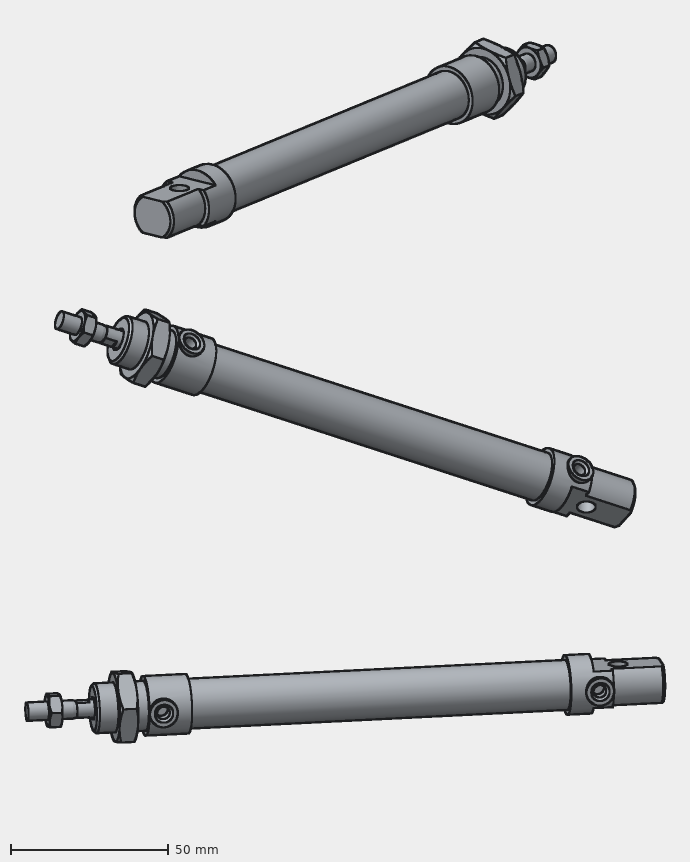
import cadquery as cq
import math

TOTAL_LENGTH = 205.0

ROD_DIAMETER = 6.0
THREAD_END_DIAMETER = 5.5
THREAD_LENGTH = 15.8
THREAD_RELIEF_LENGTH = 1.2
ROD_FLATS_WIDTH = 5.0
ROD_FLATS_END = 19.9
ROD_INSERTION = 16.5

ROD_NUT_START = 6.5
ROD_NUT_THICKNESS = 4.0
ROD_NUT_ACROSS_FLATS = 10.0
ROD_NUT_ANGLE = -7.0
ROD_NUT_CHAMFER = 0.5

MOUNTING_NUT_START = 28.0
MOUNTING_NUT_THICKNESS = 6.0
MOUNTING_NUT_ACROSS_FLATS = 22.0
MOUNTING_NUT_ANGLE = -12.3
MOUNTING_NUT_CHAMFER = 0.8

BARREL_DIAMETER = 16.0
NOSE_START = 21.3
END_CHAMFER = 0.8
ROD_MOUTH_DIAMETER = 7.2
COLLAR_DIAMETER = 19.0
COLLAR_LENGTH = 13.7
FRONT_COLLAR_START = 38.0
REAR_COLLAR_START = 174.2
REAR_COLLAR_END = REAR_COLLAR_START + COLLAR_LENGTH

PORT_BOSS_DIAMETER = 9.0
PORT_FACE_X = -10.2
PORT_MOUTH_DIAMETER = 6.0
PORT_HOLE_DIAMETER = 4.0
PORT_DEPTH = 5.0
PORT_MOUTH_DEPTH = (PORT_MOUTH_DIAMETER - PORT_HOLE_DIAMETER) / 2
PORT_EDGE_DISTANCE = PORT_BOSS_DIAMETER / 2
PORT_STATIONS = (FRONT_COLLAR_START + PORT_EDGE_DISTANCE, REAR_COLLAR_END - PORT_EDGE_DISTANCE)

TANG_THICKNESS = 12.0
TANG_FLATS_START = 181.8
TANG_HOLE_STATION = 191.0
TANG_HOLE_DIAMETER = 6.0


def revolve_profile(points):
    """Turn (radius, station) points about the cylinder axis."""
    outline = [(radius, -station) for radius, station in points]
    return cq.Workplane("XY").polyline(outline).close().revolve(360, (0, 0), (0, 1))


def cylinder(diameter, start, end):
    """Round bar on the cylinder axis between two stations."""
    return cq.Workplane("XZ", origin=(0, -start, 0)).circle(diameter / 2).extrude(end - start)


def flats_cutter(thickness, start, end):
    """Two blocks, above and below the axis, that leave the given thickness."""
    block_size = 2 * COLLAR_DIAMETER
    cutter = cq.Workplane("XY")
    for side in (-1, 1):
        center = (0, -(start + end) / 2, side * (thickness + block_size) / 2)
        cutter = cutter.add(cq.Workplane("XY").box(block_size, end - start, block_size).translate(center))
    return cutter.combine()


def port_cylinder(diameter, station, start_x, length):
    """Round bar along +X, at a port."""
    return cq.Workplane("YZ", origin=(start_x, -station, 0)).circle(diameter / 2).extrude(length)


def port_bore(station):
    """Blind hole with a countersunk mouth."""
    bore = port_cylinder(PORT_HOLE_DIAMETER, station, PORT_FACE_X, PORT_DEPTH)
    mouth = (
        cq.Workplane("YZ", origin=(PORT_FACE_X, -station, 0))
        .circle(PORT_MOUTH_DIAMETER / 2)
        .workplane(offset=PORT_MOUTH_DEPTH)
        .circle(PORT_HOLE_DIAMETER / 2)
        .loft()
    )
    return bore.union(mouth)


def make_housing():
    """Barrel with nose, two collars, ports and flattened rear tang."""
    radius = BARREL_DIAMETER / 2
    end_radius = radius - END_CHAMFER
    housing = revolve_profile([
        (0, NOSE_START),
        (end_radius, NOSE_START),
        (radius, NOSE_START + END_CHAMFER),
        (radius, TOTAL_LENGTH - END_CHAMFER),
        (end_radius, TOTAL_LENGTH),
        (0, TOTAL_LENGTH),
    ])
    for start in (FRONT_COLLAR_START, REAR_COLLAR_START):
        housing = housing.union(cylinder(COLLAR_DIAMETER, start, start + COLLAR_LENGTH))
    housing = housing.cut(flats_cutter(TANG_THICKNESS, TANG_FLATS_START, TOTAL_LENGTH))
    for station in PORT_STATIONS:
        housing = housing.union(port_cylinder(PORT_BOSS_DIAMETER, station, PORT_FACE_X, -PORT_FACE_X))
        housing = housing.cut(port_bore(station))

    tang_hole = (
        cq.Workplane("XY", origin=(0, -TANG_HOLE_STATION, 0))
        .circle(TANG_HOLE_DIAMETER / 2)
        .extrude(TANG_THICKNESS, both=True)
    )
    mouth_radius = ROD_MOUTH_DIAMETER / 2
    rod_radius = ROD_DIAMETER / 2
    rod_seat = revolve_profile([
        (0, NOSE_START),
        (mouth_radius, NOSE_START),
        (rod_radius, NOSE_START + mouth_radius - rod_radius),
        (rod_radius, NOSE_START + ROD_INSERTION),
        (0, NOSE_START + ROD_INSERTION),
    ])
    return housing.cut(tang_hole).cut(rod_seat)


def make_rod():
    """Rod with a tapered thread end and two wrench flats."""
    radius = ROD_DIAMETER / 2
    rod = revolve_profile([
        (0, 0),
        (radius, 0),
        (radius, THREAD_LENGTH - THREAD_RELIEF_LENGTH),
        (THREAD_END_DIAMETER / 2, THREAD_LENGTH),
        (radius, THREAD_LENGTH),
        (radius, NOSE_START + ROD_INSERTION),
        (0, NOSE_START + ROD_INSERTION),
    ])
    return rod.cut(flats_cutter(ROD_FLATS_WIDTH, THREAD_LENGTH, ROD_FLATS_END))


def make_nut(start, thickness, across_flats, angle, chamfer, bore_diameter):
    """Hexagon nut with its corners turned down at both faces."""
    face_radius = across_flats / 2
    corner_radius = face_radius / math.cos(math.pi / 6)
    hexagon = (
        cq.Workplane("XZ", origin=(0, -start, 0))
        .polygon(6, 2 * corner_radius)
        .extrude(thickness)
        .rotate((0, 0, 0), (0, -1, 0), angle)
    )
    end = start + thickness
    turned_envelope = revolve_profile([
        (0, start),
        (face_radius, start),
        (corner_radius, start + chamfer),
        (corner_radius, end - chamfer),
        (face_radius, end),
        (0, end),
    ])
    return hexagon.intersect(turned_envelope).cut(cylinder(bore_diameter, start, end))


housing = make_housing()
rod = make_rod()
rod_nut = make_nut(
    ROD_NUT_START, ROD_NUT_THICKNESS, ROD_NUT_ACROSS_FLATS, ROD_NUT_ANGLE, ROD_NUT_CHAMFER, ROD_DIAMETER
)
mounting_nut = make_nut(
    MOUNTING_NUT_START,
    MOUNTING_NUT_THICKNESS,
    MOUNTING_NUT_ACROSS_FLATS,
    MOUNTING_NUT_ANGLE,
    MOUNTING_NUT_CHAMFER,
    BARREL_DIAMETER,
)

result = cq.Compound.makeCompound([housing.val(), rod.val(), rod_nut.val(), mounting_nut.val()])